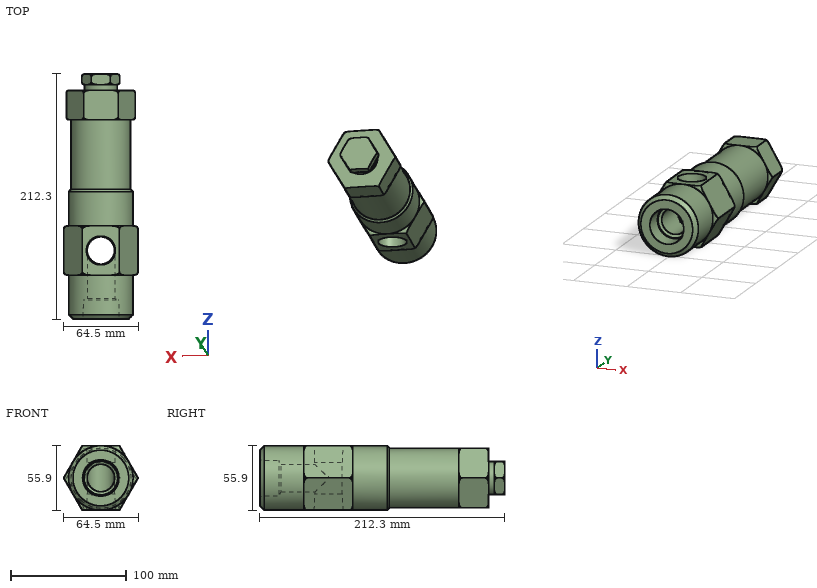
import cadquery as cq
import math

total_length = 212.27
main_hex_start = 38.1
main_hex_end = 80.6
shoulder_end = 112.3
cap_hex_start = 172.5
cap_hex_end = 198.12
plug_hex_start = 203.0

main_flats = 55.88
body_diameter = main_flats
nose_chamfer = 3.81
shoulder_chamfer = 1.9
tube_diameter = 51.8
cap_flats = tube_diameter
plug_flats = 28.7
neck_diameter = plug_flats

main_hex_rounding = 2.9
end_hex_rounding = 2.54

pipe_taper = 1 / 16
axial_mouth_diameter = 31.5
axial_taper_depth = 16.5
axial_drill_diameter = 29.2
axial_cone_angle = 118
bore_diameter = 23.8
cross_mouth_diameter = 25.1
cross_taper_depth = 14.2
cross_bore_diameter = 23.6
cross_station = (main_hex_start + main_hex_end) / 2


def revolve_profile(points):
    """Revolve (radius, station) points about the Y axis."""
    return cq.Workplane("XY").polyline(points).close().revolve(360, (0, 0), (0, 1))


def cylinder(diameter, start, end):
    """Cylinder along Y between two stations."""
    radius = diameter / 2
    return revolve_profile([(0, start), (radius, start), (radius, end), (0, end)])


def rounded_hex(flats, start, end, rounding):
    """Hexagonal prism along Y, corners on the X axis, rounded off at both ends."""
    corner_diameter = 2 * flats / math.sqrt(3)
    prism = (
        cq.Workplane("XZ", origin=(0, start, 0))
        .polygon(6, corner_diameter)
        .extrude(start - end)
    )
    envelope = cylinder(corner_diameter, start, end).edges("%CIRCLE").fillet(rounding)
    return prism.intersect(envelope)


def make_body():
    """Round body with a chamfer at the nose and at the step down to the tube."""
    radius = body_diameter / 2
    return revolve_profile([
        (0, 0),
        (radius - nose_chamfer, 0),
        (radius, nose_chamfer),
        (radius, shoulder_end - shoulder_chamfer),
        (radius - shoulder_chamfer, shoulder_end),
        (0, shoulder_end),
    ])


def make_axial_hole():
    """Tapered hole from the nose, stepped and coned down to a bore that ends in the cross hole."""
    mouth_radius = axial_mouth_diameter / 2
    taper_end_radius = mouth_radius - axial_taper_depth * pipe_taper / 2
    drill_radius = axial_drill_diameter / 2
    bore_radius = bore_diameter / 2
    cone_length = (drill_radius - bore_radius) / math.tan(math.radians(axial_cone_angle / 2))
    return revolve_profile([
        (0, 0),
        (mouth_radius, 0),
        (taper_end_radius, axial_taper_depth),
        (drill_radius, axial_taper_depth),
        (bore_radius, axial_taper_depth + cone_length),
        (bore_radius, cross_station),
        (0, cross_station),
    ])


def make_cross_hole():
    """Hole along Z through the main hexagon, tapered inward from both flats to a slightly narrower bore."""
    face = main_flats / 2
    taper_end = face - cross_taper_depth
    mouth_radius = cross_mouth_diameter / 2
    bore_radius = cross_bore_diameter / 2
    taper_end_radius = mouth_radius - cross_taper_depth * pipe_taper / 2
    return (
        cq.Workplane("XZ")
        .polyline([
            (0, -face),
            (mouth_radius, -face),
            (taper_end_radius, -taper_end),
            (bore_radius, -taper_end),
            (bore_radius, taper_end),
            (taper_end_radius, taper_end),
            (mouth_radius, face),
            (0, face),
        ])
        .close()
        .revolve(360, (0, 0), (0, 1))
        .translate((0, cross_station, 0))
    )


result = (
    make_body()
    .union(rounded_hex(main_flats, main_hex_start, main_hex_end, main_hex_rounding))
    .union(cylinder(tube_diameter, shoulder_end, cap_hex_start))
    .union(rounded_hex(cap_flats, cap_hex_start, cap_hex_end, end_hex_rounding))
    .union(cylinder(neck_diameter, cap_hex_end, plug_hex_start))
    .union(rounded_hex(plug_flats, plug_hex_start, total_length, end_hex_rounding))
    .cut(make_axial_hole())
    .cut(make_cross_hole())
)